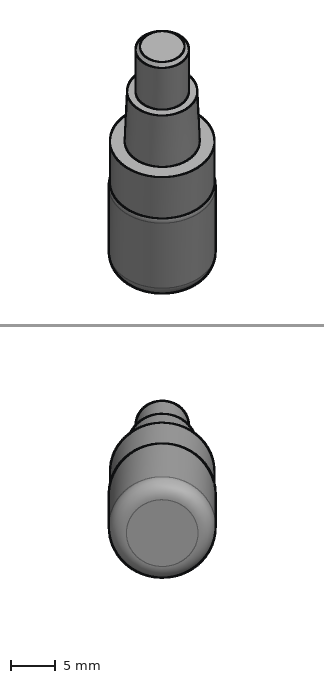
import cadquery as cq
import math

cap_radius = 6.0
cap_height = 12.67
bottom_round = 2.0
lip_height = 0.6

total_height = 33.7
collar_radius = 5.85
collar_top = 19.07
neck_base_radius = 4.2
neck_top_radius = 3.95
neck_top = 26.8
pin_radius = 3.0
pin_chamfer_width = 0.5
pin_chamfer_height = 0.45


def revolve_about_z(profile):
    """Close a radius-height profile and turn it about the Z axis."""
    return profile.close().revolve(360, (0, 0, 0), (0, 1, 0))


def make_cap():
    """Solid cap with a round bottom edge and a lip that curves in to the collar."""
    lip_inset = cap_radius - collar_radius
    lip_bottom = cap_height - lip_height
    round_shift = bottom_round * math.sqrt(0.5)
    round_middle = (
        cap_radius - bottom_round + round_shift,
        bottom_round - round_shift,
    )
    lip_arc_radius = (lip_height**2 + lip_inset**2) / (2 * lip_inset)
    half_sweep = math.asin(lip_height / lip_arc_radius) / 2
    lip_middle = (
        cap_radius - lip_arc_radius * (1 - math.cos(half_sweep)),
        lip_bottom + lip_arc_radius * math.sin(half_sweep),
    )
    profile = (
        cq.Workplane("XZ")
        .lineTo(cap_radius - bottom_round, 0)
        .threePointArc(round_middle, (cap_radius, bottom_round))
        .lineTo(cap_radius, lip_bottom)
        .threePointArc(lip_middle, (collar_radius, cap_height))
        .lineTo(0, cap_height)
    )
    return revolve_about_z(profile)


def make_stem():
    """Collar resting on the cap, with a tapered neck and a chamfered pin above."""
    profile = (
        cq.Workplane("XZ")
        .moveTo(0, cap_height)
        .lineTo(collar_radius, cap_height)
        .lineTo(collar_radius, collar_top)
        .lineTo(neck_base_radius, collar_top)
        .lineTo(neck_top_radius, neck_top)
        .lineTo(pin_radius, neck_top)
        .lineTo(pin_radius, total_height - pin_chamfer_height)
        .lineTo(pin_radius - pin_chamfer_width, total_height)
        .lineTo(0, total_height)
    )
    return revolve_about_z(profile)


cap = make_cap()
stem = make_stem()
result = cq.Compound.makeCompound([cap.val(), stem.val()])